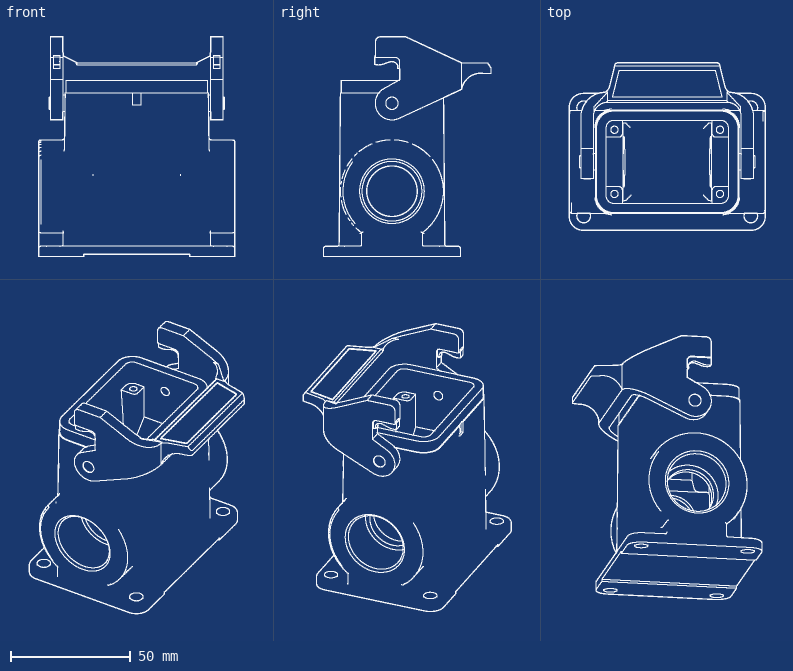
import cadquery as cq
import math

SIDES = (-1, 1)
PICK_MARGIN = 1.8
OVERLAP = 0.9
PICK_GAP = 0.5

PLATE_LENGTH = 82.0
PLATE_WIDTH = 57.3
PLATE_HEIGHT = 4.3
PLATE_CORNER = 6.0
PLATE_EDGE = 1.0
MOUNT_HOLE = 5.6
MOUNT_X = 34.9
MOUNT_Y = 22.6
RELIEF_LENGTH = 44.1
RELIEF_DEPTH = 0.9

FOOT_X, FOOT_Y = 30.75, 22.1
SHOULDER_X, SHOULDER_Y = 29.9, 21.6
WALL_CORNER = 7.5
SHOULDER_Z = 68.3
RIM_Z = 73.5
RIM_STEP = 0.4
FOOT_FILLET = 0.7

NOTCH_WIDTH = 3.4
NOTCH_HEIGHT = 5.0
NOTCH_DEPTH = 0.9

ENTRY_Z = 27.3
ENTRY_RADIUS = 21.5
ENTRY_EDGE = 1.0
ENTRY_ROOT_FILLET = 0.9
ENTRY_ROOT = 18.4
NECK_WIDTH = 25.3
NECK_BOTTOM = 0.9
BORE = 25.0
BORE_CHAMFER = 1.0
THROUGH_BORE = 21.0
BORE_STEP_X = 22.0

CAVITY_X, CAVITY_Y = 25.5, 17.35
CAVITY_CORNER = 3.2
LEDGE_Z = 62.4
POCKET_Z = 46.8
POCKET_Y = 16.3
WELL_X = 18.45
WELL_Z = POCKET_Z - (CAVITY_X - WELL_X)
FLOOR_X, FLOOR_Y = 17.3, 16.2
FLOOR_Z = 3.7
FLOOR_FILLET = 2.75

POST_X, POST_Y = 18.7, 10.3
POST_FOOT_Z = 36.7
POST_EDGE = 1.65
POST_MIDDLE_Z = (POST_FOOT_Z + LEDGE_Z) / 2
SCREW_X, SCREW_Y = 22.0, 13.4
SCREW_HOLE = 3.0
SCREW_DEPTH = 18.4

PIVOT_Z = 64.0
PIN = 4.0
PIN_HEAD = 5.1
PIN_HEAD_HEIGHT = 0.5
PIN_HEAD_FILLET = 0.2
PIVOT_BOSS = 7.0
LEVER_X = 36.1
ARM_THICKNESS = 5.2
ARM_INNER_X = LEVER_X - ARM_THICKNESS
PIVOT_RADIUS = 7.0
LEVER_TOP_Z = 91.8
LEVER_SLOPE = math.radians(25)
LEVER_BACK_Y = 29.1
BACK_INNER_Y = 24.9
BACK_CORNER = 10.4
BACK_INNER_CORNER = 6.0
BACK_FLAT_X = ARM_INNER_X - BACK_INNER_CORNER
HANDLE_TOP_Z = 80.9
HANDLE_TIP_Y = 41.4
ARM_FRONT_Y = -7.0
ARM_FRONT_CORNER = 2.3
HOOK_Z = 83.1
HOOK_Y = 3.2
HOOK_CORNER = 1.8
THROAT_Z = 73.8
THROAT_SLOPE = math.radians(29)
BACK_BOTTOM_Z = 69.8
HANDLE_ROOT_BOTTOM_Z = 72.5
HANDLE_TIP_X = 21.7
HANDLE_FLARE = (24.05, 31.7)
HANDLE_ROOT_DEPTH = 1.8
HANDLE_ROOT = (27.8, 28.5)
HANDLE_TIP_CORNER = 1.4
TIP_BOTTOM_Z = 76.4
TIP_FACE_Z = 78.7
TIP_TOP_Y = 39.9
UNDERSIDE_Y = 38.2
UNDERSIDE_MID = (32.4, 75.0)
LABEL_TIP = (20.1, 38.2)
LABEL_ROOT = (22.9, 27.1)
LABEL_DEPTH = 0.4
BACK_EDGE_CHAMFER = 0.8
CATCH_X = 33.4
CATCH_WIDTH = 2.75
HEADROOM_RISE = 0.5
HEADROOM_CLEARANCE = 0.2
CATCH_TAIL_Y = 2.3
CATCH_TAIL_Z = 78.4
CATCH_WAVE = [(1.8, 80.6), (0, 81.3), (-1.8, 80.9), (-5.1, 80.0), (-7.25, 80.2)]
CATCH_SHOULDER_Z = 83.4


def rounded_block(half_x, half_y, corner, bottom, top):
    """Upright block centred on the Z axis with rounded vertical edges."""
    block = cq.Workplane("XY", origin=(0, 0, bottom)).rect(2 * half_x, 2 * half_y).extrude(top - bottom)
    return block.edges("|Z").fillet(corner)


def x_cylinder(diameter, x_start, x_end, z):
    """Cylinder along X, centred on Y = 0."""
    plane = cq.Workplane("YZ", origin=(x_start, 0, z))
    return plane.circle(diameter / 2).extrude(x_end - x_start)


def mounting_plate():
    plate = rounded_block(PLATE_LENGTH / 2, PLATE_WIDTH / 2, PLATE_CORNER, 0, PLATE_HEIGHT)
    plate = plate.faces(">Z").edges().fillet(PLATE_EDGE)
    plate = plate.cut(cq.Workplane("XY").box(RELIEF_LENGTH, PLATE_WIDTH, 2 * RELIEF_DEPTH))
    holes = cq.Workplane("XY").rect(2 * MOUNT_X, 2 * MOUNT_Y, forConstruction=True).vertices()
    return plate.cut(holes.circle(MOUNT_HOLE / 2).extrude(PLATE_HEIGHT))


def hood_wall():
    wall = (
        cq.Workplane("XY", origin=(0, 0, PLATE_HEIGHT))
        .rect(2 * FOOT_X, 2 * FOOT_Y)
        .workplane(offset=SHOULDER_Z - PLATE_HEIGHT)
        .rect(2 * SHOULDER_X, 2 * SHOULDER_Y)
        .loft(ruled=True)
    )
    return wall.edges("not #Z").edges("not(|X or |Y)").fillet(WALL_CORNER)


def rim():
    """Upright collar standing on the shoulder of the wall."""
    half_x = SHOULDER_X - RIM_STEP
    half_y = SHOULDER_Y - RIM_STEP
    return rounded_block(half_x, half_y, WALL_CORNER - RIM_STEP, SHOULDER_Z, RIM_Z)


def cable_entry(side):
    """Round entry boss carried by a neck that runs down to the plate."""
    face_x = side * PLATE_LENGTH / 2
    boss = x_cylinder(2 * ENTRY_RADIUS, side * ENTRY_ROOT, face_x, ENTRY_Z)
    neck = (
        cq.Workplane("YZ", origin=(side * ENTRY_ROOT, 0, (NECK_BOTTOM + ENTRY_Z) / 2))
        .rect(NECK_WIDTH, ENTRY_Z - NECK_BOTTOM)
        .extrude(face_x - side * ENTRY_ROOT)
    )
    entry = boss.union(neck)
    return entry.faces(">X" if side > 0 else "<X").edges().fillet(ENTRY_EDGE)


def round_entry_roots(body):
    """Fillet where each entry boss and neck meets the hood wall."""
    for side in SIDES:
        root = cq.selectors.BoxSelector(
            (side * (SHOULDER_X - WALL_CORNER + PICK_MARGIN), -FOOT_Y, PLATE_HEIGHT + PICK_MARGIN),
            (side * (FOOT_X + PICK_MARGIN), FOOT_Y, ENTRY_Z + ENTRY_RADIUS + PICK_MARGIN),
        )
        body = body.edges(root).fillet(ENTRY_ROOT_FILLET)
    return body


def round_foot(body):
    """Fillet where the hood and the necks meet the top of the mounting plate."""
    foot = cq.selectors.BoxSelector(
        (-FOOT_X - PICK_MARGIN, -FOOT_Y - PICK_MARGIN, PLATE_HEIGHT - PICK_GAP),
        (FOOT_X + PICK_MARGIN, FOOT_Y + PICK_MARGIN, PLATE_HEIGHT + PICK_GAP),
    )
    return body.edges(foot).fillet(FOOT_FILLET)


def entry_bore(side):
    face_x = side * PLATE_LENGTH / 2
    bore = x_cylinder(BORE, side * BORE_STEP_X, face_x, ENTRY_Z)
    mouth = (
        cq.Workplane("YZ", origin=(face_x, 0, ENTRY_Z))
        .circle(BORE / 2 + BORE_CHAMFER)
        .workplane(offset=-side * BORE_CHAMFER)
        .circle(BORE / 2)
        .loft()
    )
    return bore.union(mouth)


def cavity():
    """Open space inside the hood: a well, sloping side pockets and a mouth with rounded corners."""
    length_profile = [
        (FLOOR_X, FLOOR_Z),
        (WELL_X, WELL_Z),
        (CAVITY_X, POCKET_Z),
        (CAVITY_X, RIM_Z),
    ]
    width_profile = [
        (FLOOR_Y, FLOOR_Z),
        (POCKET_Y, POCKET_Z),
        (CAVITY_Y, LEDGE_Z),
        (CAVITY_Y, RIM_Z),
    ]

    def symmetric_prism(plane, profile, half_depth):
        mirrored = [(-u, z) for u, z in reversed(profile)]
        return cq.Workplane(plane).polyline(profile + mirrored).close().extrude(half_depth, both=True)

    space = symmetric_prism("XZ", length_profile, CAVITY_Y)
    space = space.intersect(symmetric_prism("YZ", width_profile, CAVITY_X))
    space = space.intersect(rounded_block(CAVITY_X, CAVITY_Y, CAVITY_CORNER, FLOOR_Z, RIM_Z))
    return space.faces("<Z").edges().fillet(FLOOR_FILLET)


def screw_post(side_x, side_y):
    outer_x = CAVITY_X + OVERLAP
    outer_y = CAVITY_Y + OVERLAP
    post = (
        cq.Workplane("XY", origin=(0, 0, POST_FOOT_Z))
        .moveTo(side_x * (POST_X + outer_x) / 2, side_y * (POST_Y + outer_y) / 2)
        .rect(outer_x - POST_X, outer_y - POST_Y)
        .extrude(LEDGE_Z - POST_FOOT_Z)
    )
    inner_corner = cq.selectors.NearestToPointSelector((side_x * POST_X, side_y * POST_Y, POST_MIDDLE_Z))
    post = post.edges("|Z").edges(inner_corner).fillet(POST_EDGE)
    hole = (
        cq.Workplane("XY", origin=(side_x * SCREW_X, side_y * SCREW_Y, LEDGE_Z))
        .circle(SCREW_HOLE / 2)
        .extrude(-SCREW_DEPTH)
    )
    return post, hole


def build_housing():
    body = hood_wall()
    for side in SIDES:
        body = body.union(cable_entry(side))
    body = round_entry_roots(body)
    body = body.union(mounting_plate())
    body = round_foot(body)
    for side in SIDES:
        body = body.union(x_cylinder(PIVOT_BOSS, side * CAVITY_X, side * ARM_INNER_X, PIVOT_Z))
    body = body.union(rim())
    body = body.cut(cavity())
    for side_x in SIDES:
        for side_y in SIDES:
            post, hole = screw_post(side_x, side_y)
            body = body.union(post).cut(hole)
    for side in SIDES:
        body = body.cut(entry_bore(side))
        body = body.cut(x_cylinder(PIN, side * CAVITY_X, side * ARM_INNER_X, PIVOT_Z))
    body = body.cut(x_cylinder(THROUGH_BORE, -PLATE_LENGTH / 2, PLATE_LENGTH / 2, ENTRY_Z))

    notch = cq.Workplane("XY").box(NOTCH_WIDTH, 2 * NOTCH_DEPTH, NOTCH_HEIGHT)
    return body.cut(notch.translate((0, -SHOULDER_Y, SHOULDER_Z - NOTCH_HEIGHT / 2)))


def on_pivot(angle):
    """Point on the rounded arm end, measured from the +Y direction towards +Z."""
    return PIVOT_RADIUS * math.cos(angle), PIVOT_Z + PIVOT_RADIUS * math.sin(angle)


def lever_side_outline():
    """Side outline of the arms: back edge, sloping top, hook, throat and rounded pivot end."""
    top_run = (LEVER_TOP_Z - HANDLE_TOP_Z) / math.tan(LEVER_SLOPE)
    throat_end = on_pivot(math.pi / 2 + THROAT_SLOPE)
    lower_start = on_pivot(-math.pi / 2 + LEVER_SLOPE)
    return (
        cq.Workplane("YZ", origin=(-LEVER_X, 0, 0))
        .moveTo(LEVER_BACK_Y, BACK_BOTTOM_Z)
        .lineTo(LEVER_BACK_Y, HANDLE_TOP_Z)
        .lineTo(LEVER_BACK_Y - top_run, LEVER_TOP_Z)
        .lineTo(ARM_FRONT_Y + ARM_FRONT_CORNER, LEVER_TOP_Z)
        .radiusArc((ARM_FRONT_Y, LEVER_TOP_Z - ARM_FRONT_CORNER), -ARM_FRONT_CORNER)
        .lineTo(ARM_FRONT_Y, HOOK_Z)
        .lineTo(HOOK_Y - HOOK_CORNER, HOOK_Z)
        .radiusArc((HOOK_Y, HOOK_Z - HOOK_CORNER), HOOK_CORNER)
        .lineTo(HOOK_Y, THROAT_Z)
        .lineTo(*throat_end)
        .threePointArc(on_pivot(math.pi), lower_start)
        .close()
        .extrude(2 * LEVER_X)
    )


def lever_plan():
    """U-shaped plan of the lever: two arms joined by a back plate."""
    front = ARM_FRONT_Y - OVERLAP
    height = LEVER_TOP_Z

    def u_block(half_x, back_y, corner):
        block = cq.Workplane("XY").moveTo(0, (front + back_y) / 2).rect(2 * half_x, back_y - front)
        return block.extrude(height).edges("|Z and >Y").fillet(corner)

    outer = u_block(LEVER_X, LEVER_BACK_Y, BACK_CORNER)
    return outer.cut(u_block(ARM_INNER_X, BACK_INNER_Y, BACK_INNER_CORNER))


def handle():
    """Finger plate behind the back wall, hollowed below and bevelled at its tip."""
    side = (
        cq.Workplane("YZ", origin=(-LEVER_X, 0, 0))
        .moveTo(BACK_INNER_Y + OVERLAP, HANDLE_TOP_Z)
        .lineTo(TIP_TOP_Y, HANDLE_TOP_Z)
        .lineTo(HANDLE_TIP_Y, TIP_FACE_Z)
        .lineTo(HANDLE_TIP_Y, TIP_BOTTOM_Z)
        .lineTo(UNDERSIDE_Y, TIP_BOTTOM_Z)
        .threePointArc(UNDERSIDE_MID, (LEVER_BACK_Y, BACK_BOTTOM_Z))
        .lineTo(BACK_INNER_Y + OVERLAP, HANDLE_ROOT_BOTTOM_Z)
        .close()
        .extrude(2 * LEVER_X)
    )
    flare_x, flare_y = HANDLE_FLARE
    root_x, root_y = HANDLE_ROOT
    plan = (
        cq.Workplane("XY")
        .moveTo(0, HANDLE_TIP_Y)
        .lineTo(HANDLE_TIP_X, HANDLE_TIP_Y)
        .lineTo(flare_x, flare_y)
        .tangentArcPoint((root_x, root_y), relative=False)
        .lineTo(root_x, root_y - HANDLE_ROOT_DEPTH)
        .lineTo(BACK_FLAT_X, BACK_INNER_Y + OVERLAP)
        .lineTo(0, BACK_INNER_Y + OVERLAP)
        .mirrorY()
        .extrude(LEVER_TOP_Z)
    )
    plan = plan.edges("|Z and >Y").fillet(HANDLE_TIP_CORNER)
    return side.intersect(plan)


def back_headroom():
    """Space above the back wall, widening upwards over the two inner corners."""
    upper_x = ARM_INNER_X - HEADROOM_CLEARANCE
    upper_z = HANDLE_TOP_Z + (upper_x - BACK_FLAT_X) * HEADROOM_RISE
    profile = [
        (-BACK_FLAT_X, HANDLE_TOP_Z),
        (BACK_FLAT_X, HANDLE_TOP_Z),
        (upper_x, upper_z),
        (upper_x, LEVER_TOP_Z),
        (-upper_x, LEVER_TOP_Z),
        (-upper_x, upper_z),
    ]
    return cq.Workplane("XZ").polyline(profile).close().extrude(-HANDLE_TIP_Y)


def label_recess():
    tip_x, tip_y = LABEL_TIP
    root_x, root_y = LABEL_ROOT
    corners = [(-root_x, root_y), (-tip_x, tip_y), (tip_x, tip_y), (root_x, root_y)]
    return cq.Workplane("XY", origin=(0, 0, HANDLE_TOP_Z)).polyline(corners).close().extrude(-LABEL_DEPTH)


def catch(side):
    """Wavy catch hanging from the hook of one arm."""
    return (
        cq.Workplane("YZ", origin=(side * CATCH_X, 0, 0))
        .moveTo(HOOK_Y, HOOK_Z + OVERLAP)
        .lineTo(HOOK_Y, CATCH_TAIL_Z)
        .lineTo(CATCH_TAIL_Y, CATCH_TAIL_Z)
        .spline(CATCH_WAVE, includeCurrent=True)
        .lineTo(CATCH_WAVE[-1][0], CATCH_SHOULDER_Z)
        .lineTo(ARM_FRONT_Y, HOOK_Z + OVERLAP)
        .close()
        .extrude(CATCH_WIDTH / 2, both=True)
    )


def pivot_pin(side):
    """Pin through the hood wall, with a low round head outside the arm."""
    pin = x_cylinder(PIN, side * CAVITY_X, side * LEVER_X, PIVOT_Z)
    head = x_cylinder(PIN_HEAD, side * (LEVER_X - OVERLAP), side * (LEVER_X + PIN_HEAD_HEIGHT), PIVOT_Z)
    head = head.faces(">X" if side > 0 else "<X").edges().fillet(PIN_HEAD_FILLET)
    return pin.union(head)


def build_lever():
    lever = lever_side_outline().intersect(lever_plan())
    lever = lever.cut(back_headroom()).union(handle())
    inner_edge = cq.selectors.BoxSelector(
        (-BACK_FLAT_X, BACK_INNER_Y - PICK_GAP, HANDLE_TOP_Z - PICK_GAP),
        (BACK_FLAT_X, BACK_INNER_Y + PICK_GAP, HANDLE_TOP_Z + PICK_GAP),
    )
    lever = lever.edges(inner_edge).chamfer(BACK_EDGE_CHAMFER)
    lever = lever.cut(label_recess())
    for side in SIDES:
        lever = lever.union(catch(side))
        lever = lever.union(pivot_pin(side))
    return lever


housing = build_housing()
lever = build_lever()
result = cq.Compound.makeCompound([housing.val(), lever.val()])